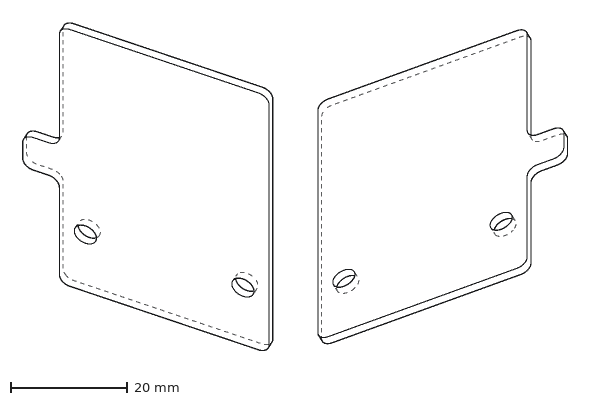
import cadquery as cq

plate_height = 63.0
overall_width = 47.0
plate_width = 40.0
thickness = 1.6
corner_radius = 2.0

tab_length = overall_width - plate_width
tab_height = 8.0
tab_center_z = 29.5

hole_diameter = 4.2
hole_edge_distance = 5.0
hole_center_z = 14.0


def upright_block(x_start, x_end, z_start, z_end):
    """Block of plate thickness between the given X and Z limits."""
    size_x = x_end - x_start
    size_z = z_end - z_start
    return cq.Workplane("XY").box(size_x, thickness, size_z, centered=False).translate((x_start, 0, z_start))


plate = upright_block(0, plate_width, 0, plate_height)

tab_bottom = tab_center_z - tab_height / 2
tab_top = tab_center_z + tab_height / 2
tab = upright_block(-tab_length, plate_width / 2, tab_bottom, tab_top)

blank = plate.union(tab).clean().edges("|Y").fillet(corner_radius)

hole_positions = [
    (hole_edge_distance, hole_center_z),
    (plate_width - hole_edge_distance, hole_center_z),
]
holes = (
    cq.Workplane("XZ")
    .pushPoints(hole_positions)
    .circle(hole_diameter / 2)
    .extrude(-thickness)
)

result = blank.cut(holes)